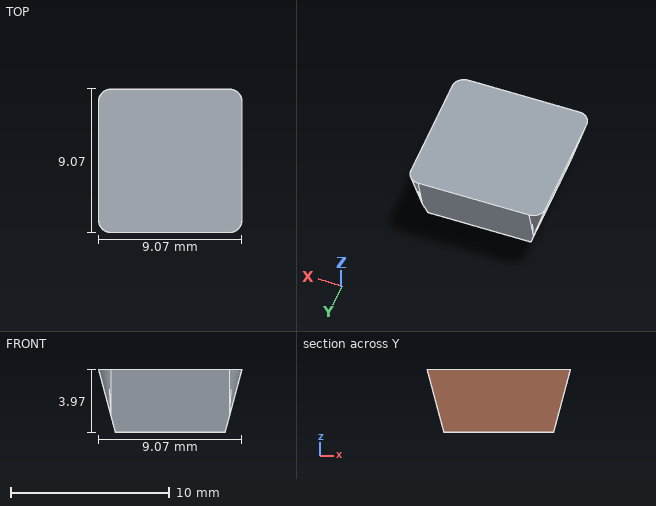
import cadquery as cq
import math

top_width = 9.07
thickness = 3.97
base_height = 1.0
flank_angle = 15.0

flank_slope = math.tan(math.radians(flank_angle))
upper_height = thickness - base_height
corner_radius = upper_height * flank_slope
core_width = top_width - 2 * corner_radius
bottom_width = top_width - 2 * thickness * flank_slope


def make_base():
    """Square frustum that widens from the bottom face to the core width."""
    return (
        cq.Workplane("XY")
        .rect(bottom_width, bottom_width)
        .workplane(offset=base_height)
        .rect(core_width, core_width)
        .loft(ruled=True)
    )


def make_flared_slab(plane):
    """Trapezoidal prism of core width, with sloping flanks on two opposite sides."""
    return (
        cq.Workplane(plane)
        .moveTo(-core_width / 2, base_height)
        .lineTo(core_width / 2, base_height)
        .lineTo(top_width / 2, thickness)
        .lineTo(-top_width / 2, thickness)
        .close()
        .extrude(core_width / 2, both=True)
    )


def make_corner_cone(x, y):
    """Upright cone with its tip on a base corner and its wide end at the top."""
    tip = cq.Vector(x, y, base_height)
    cone = cq.Solid.makeCone(0, corner_radius, upper_height, tip, cq.Vector(0, 0, 1))
    return cq.Workplane(obj=cone)


body = make_base()
body = body.union(make_flared_slab("XZ")).union(make_flared_slab("YZ"))
for x_side in (-1, 1):
    for y_side in (-1, 1):
        corner = make_corner_cone(x_side * core_width / 2, y_side * core_width / 2)
        body = body.union(corner)

result = body.clean()